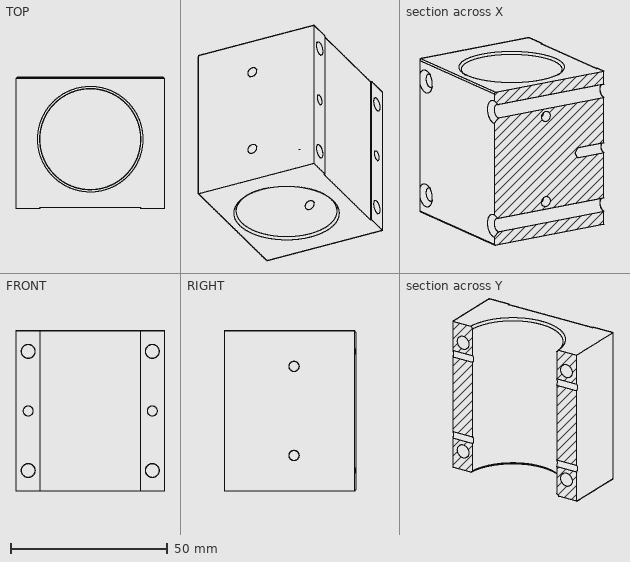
import cadquery as cq
import math

WIDTH = 47.62
DEPTH = 42.06
HEIGHT = 51.31
AXIS_TO_FEET = 22.23
BACK_CHAMFER = 0.5
FRONT_Y = -AXIS_TO_FEET
BACK_Y = FRONT_Y + DEPTH

BORE_DIAMETER = 32.25
BORE_CHAMFER = 0.76

RELIEF_WIDTH = BORE_DIAMETER
RELIEF_DEPTH = 0.38

FOOT_HOLE_X = 19.84
MOUNT_HOLE_Z = 19.05
MOUNT_HOLE_DIAMETER = 4.35
SCREW_SINK_DIAMETER = 7.5
SCREW_SINK_ANGLE = 90.0
BLIND_HOLE_DIAMETER = 3.2
BLIND_HOLE_DEPTH = 10.0
DRILL_POINT_ANGLE = 118.0

CROSS_HOLE_Z = 14.24
CROSS_HOLE_DIAMETER = 3.2


def revolve_profile(workplane, points):
    """Solid of revolution of a closed profile about the vertical axis of its workplane."""
    return workplane.polyline(points).close().revolve(360, (0, 0), (0, 1))


def make_block():
    """Rectangular block with the edges of its back face chamfered."""
    block = cq.Workplane("XY").box(WIDTH, DEPTH, HEIGHT)
    block = block.faces(">Y").chamfer(BACK_CHAMFER)
    return block.translate((0, (FRONT_Y + BACK_Y) / 2, 0))


def make_bore():
    """Full-height cylinder that flares at both ends."""
    radius = BORE_DIAMETER / 2
    mouth_radius = radius + BORE_CHAMFER
    half_height = HEIGHT / 2
    chamfer_start = half_height - BORE_CHAMFER
    profile = [
        (0, -half_height),
        (mouth_radius, -half_height),
        (radius, -chamfer_start),
        (radius, chamfer_start),
        (mouth_radius, half_height),
        (0, half_height),
    ]
    return revolve_profile(cq.Workplane("XZ"), profile)


def make_relief():
    """Full-height slab that leaves a foot standing along each side of the front face."""
    slab = cq.Workplane("XY").box(RELIEF_WIDTH, RELIEF_DEPTH, HEIGHT)
    return slab.translate((0, FRONT_Y + RELIEF_DEPTH / 2, 0))


def make_mount_hole(x, z):
    """Hole through a foot from front to back, countersunk at the back face."""
    radius = MOUNT_HOLE_DIAMETER / 2
    sink_radius = SCREW_SINK_DIAMETER / 2
    sink_depth = (sink_radius - radius) / math.tan(math.radians(SCREW_SINK_ANGLE / 2))
    profile = [(0, 0), (radius, 0), (radius, DEPTH - sink_depth), (sink_radius, DEPTH), (0, DEPTH)]
    hole = revolve_profile(cq.Workplane("XY"), profile)
    return hole.translate((x, FRONT_Y, z))


def make_blind_hole(x):
    """Blind hole with a conical drill point, entering the front face at mid-height."""
    radius = BLIND_HOLE_DIAMETER / 2
    tip_depth = BLIND_HOLE_DEPTH + radius / math.tan(math.radians(DRILL_POINT_ANGLE / 2))
    profile = [(0, 0), (radius, 0), (radius, BLIND_HOLE_DEPTH), (0, tip_depth)]
    hole = revolve_profile(cq.Workplane("XY"), profile)
    return hole.translate((x, FRONT_Y, 0))


def make_cross_holes():
    """Two holes running across the full width of the block."""
    centres = [(0, -CROSS_HOLE_Z), (0, CROSS_HOLE_Z)]
    side = cq.Workplane("YZ", origin=(-WIDTH / 2, 0, 0))
    return side.pushPoints(centres).circle(CROSS_HOLE_DIAMETER / 2).extrude(WIDTH)


result = make_block().cut(make_bore()).cut(make_relief()).cut(make_cross_holes())
for hole_x in (-FOOT_HOLE_X, FOOT_HOLE_X):
    result = result.cut(make_blind_hole(hole_x))
    for hole_z in (-MOUNT_HOLE_Z, MOUNT_HOLE_Z):
        result = result.cut(make_mount_hole(hole_x, hole_z))